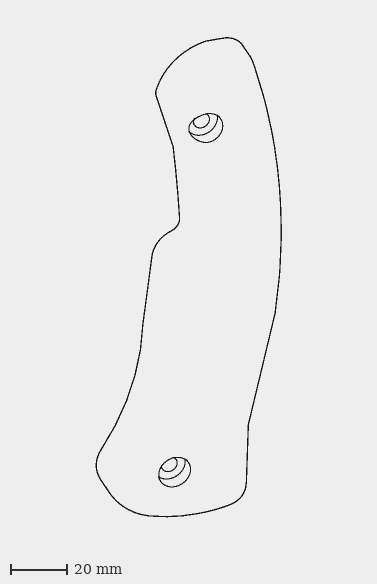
import cadquery as cq

thickness = 20.0
height = 186.0
edge_radius = 12.0

hole_centers = [(34.6, 162.3), (22.5, 23.8)]
hole_diameter = 6.0
counterbore_diameter = 12.0
counterbore_depth = 6.0

crown_back = (53.5, height)
crown_front = (41.0, height)
nose = (22.0, 168.2)
grip_start = (28.7, 145.1)
guard_root = (31.3, 111.8)
guard_tip = (21.5, 108.7)
waist = (17.3, 74.5)
heel_front = (-0.7, 22.7)
heel_bottom = (17.1, 1.9)
base_low = (33.0, 0.0)
heel_back = (52.7, 3.7)
spine_kick = (53.5, 33.5)
spine_bottom = (63.6, 77.2)

crown_middle = (29.2, 180.3)
grip_middle = (30.0, 131.5)
heel_hollow = (11.2, 44.3)
heel_belly = (5.2, 8.4)
base_front = (25.0, 0.4)
base_back = (44.0, 1.1)
spine_middle = (64.5, 135.8)

corner_radii = [
    (crown_back, 8.4),
    (nose, 4.7),
    (guard_root, 4.7),
    (guard_tip, 11.2),
    (heel_front, 11.2),
    (heel_back, 7.5),
]


def grip_outline():
    """Closed handle outline in the YZ plane, with sharp corners."""
    return (
        cq.Workplane("YZ")
        .moveTo(*crown_back)
        .lineTo(*crown_front)
        .threePointArc(crown_middle, nose)
        .lineTo(*grip_start)
        .threePointArc(grip_middle, guard_root)
        .lineTo(*guard_tip)
        .lineTo(*waist)
        .threePointArc(heel_hollow, heel_front)
        .threePointArc(heel_belly, heel_bottom)
        .threePointArc(base_front, base_low)
        .threePointArc(base_back, heel_back)
        .lineTo(*spine_kick)
        .lineTo(*spine_bottom)
        .threePointArc(spine_middle, crown_back)
        .close()
    )


body = grip_outline().extrude(thickness)
for (y, z), radius in corner_radii:
    corner_edge = cq.selectors.NearestToPointSelector((thickness / 2, y, z))
    body = body.edges(corner_edge).fillet(radius)

body = body.faces(">X").edges().fillet(edge_radius)

result = (
    body.faces(">X")
    .workplane(origin=(thickness, 0, 0))
    .pushPoints(hole_centers)
    .cboreHole(hole_diameter, counterbore_diameter, counterbore_depth)
)